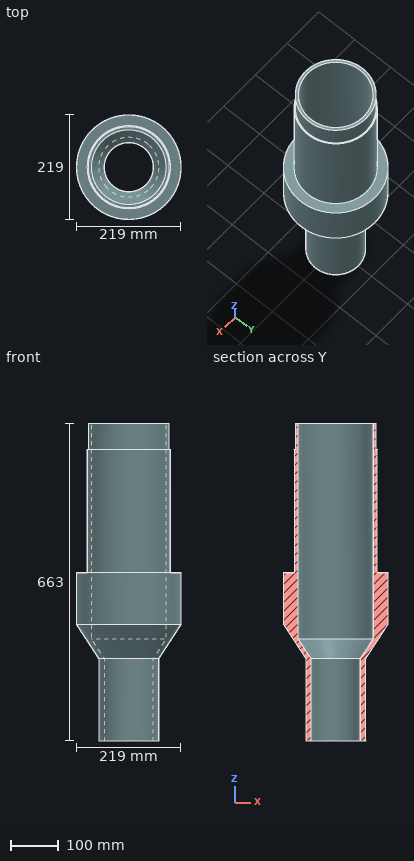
import cadquery as cq

total_height = 663.0
spigot_top = 172.0
cone_top = 243.0
collar_top = 351.5
sleeve_top = 608.5

spigot_radius = 125.0 / 2
collar_radius = 219.0 / 2
sleeve_radius = 174.0 / 2
end_radius = 169.0 / 2

lower_bore_radius = 102.0 / 2
upper_bore_radius = 156.0 / 2

cone_rise_per_radius = (cone_top - spigot_top) / (collar_radius - spigot_radius)
bore_taper_top = spigot_top + cone_rise_per_radius * (upper_bore_radius - lower_bore_radius)

half_section = [
    (spigot_radius, 0),
    (spigot_radius, spigot_top),
    (collar_radius, cone_top),
    (collar_radius, collar_top),
    (sleeve_radius, collar_top),
    (sleeve_radius, sleeve_top),
    (end_radius, sleeve_top),
    (end_radius, total_height),
    (upper_bore_radius, total_height),
    (upper_bore_radius, bore_taper_top),
    (lower_bore_radius, spigot_top),
    (lower_bore_radius, 0),
]

section_points = [(-radius, height) for radius, height in half_section]
result = cq.Workplane("XZ").polyline(section_points).close().revolve(360, (0, 0), (0, 1))